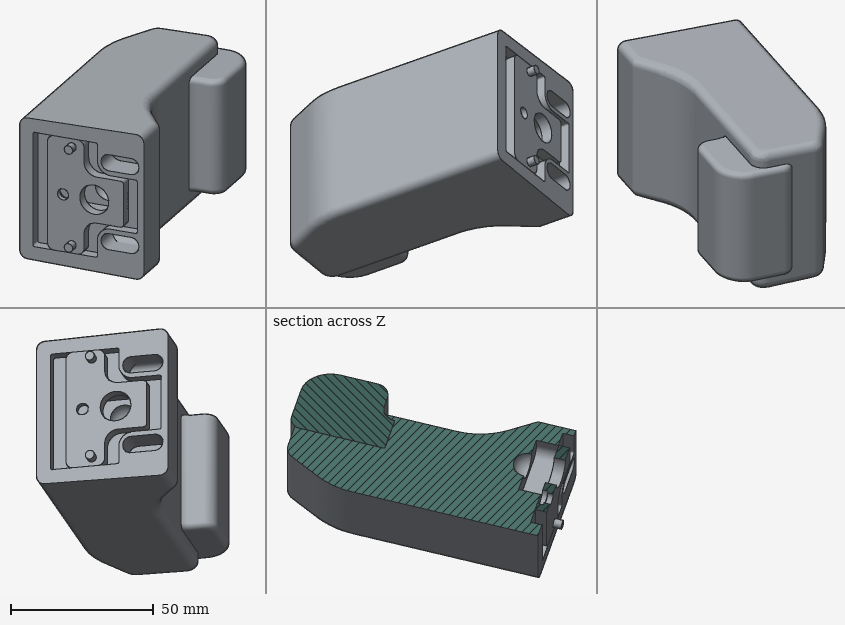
import cadquery as cq
import math

WIDTH = 47.5
BACK_Y = 95.1
NECK_X = 35.5
RIGHT_HEIGHT = 55.0
DRAFT = 1.0
EDGE_FILLET = 3.0
CORNER_R = 5.0
SHOULDER_R = 30.1
SHOULDER_Y = 68.0
SHOULDER_ANGLE = 27.0
SWEEP_R = 30.1
SWEEP_Y = 40.2
SWEEP_ANGLE = 36.0
BASE_CORNER_R = 3.0

TOLERANCE = 0.01

RECESS_DEPTH = 4.1
RECESS_LEFT = 5.1
RECESS_STEP = 29.7
RECESS_RIGHT = 45.0
RECESS_HALF = 21.7
RECESS_NECK_HALF = 10.1
RECESS_CORNER_R = 0.7
STEP_R = 5.0
PLATE_LEFT = 10.6
PLATE_STEP = 24.6
PLATE_RIGHT = 39.8
PLATE_NECK_HALF = 8.7
PLATE_CORNER_R = 2.5
PLATE_NECK_R = 1.2

BORE_X = 28.5
BORE_R = 5.5
SOCKET_R = 4.9
CHAMBER_HALF = 7.0
CHAMBER_CORNER_R = 3.9
CHAMBER_DEPTH = 8.0
SMALL_HOLE_X = 16.6
SMALL_HOLE_R = 2.1
SMALL_HOLE_LIP = 2.1
SMALL_BORE_R = 3.0

SLOT_LEFT = 31.1
SLOT_RIGHT = 45.6
SLOT_WIDTH = 6.1
SLOT_Z = 15.0
SLOT_DEPTH = 10.0
SLOT_FLOOR_X = 33.6
SLOT_LEFT_R = 5.0
SLOT_OUTER_R = 2.5

PIN_R = 1.6
PIN_X = 20.0
PIN_Z = 18.6
PIN_PROJECTION = 3.0

HOOK_BACK_Y = 97.4
HOOK_FRONT_Y = 67.3
HOOK_LEFT = 21.5
HOOK_STEM_X = 33.6
HOOK_HALF = 21.7
HOOK_FILLET = 2.1
HOOK_LEFT_R = 4.0
HOOK_R = 5.0
HOOK_BACK_R = 9.0
HOOK_SIDE_R = 12.0
HOOK_BEND_ANGLE = 36.0


def extrude_z(outline, half_height):
    """Solid of an XY outline, symmetric about Z = 0."""
    return outline.extrude(half_height, both=True)


def drill(x, z, radius, y_start, y_end):
    """Cylinder along +Y."""
    start = cq.Vector(x, y_start, z)
    cylinder = cq.Solid.makeCylinder(radius, y_end - y_start, start, cq.Vector(0, 1, 0))
    return cq.Workplane("XY").add(cylinder)


def box(x0, x1, y0, y1, z0, z1):
    return cq.Workplane("XY").box(x1 - x0, y1 - y0, z1 - z0, centered=False).translate((x0, y0, z0))


def t_block(left, step, right, half, neck_half, corner_r, neck_r):
    """T-shaped block as deep as the recess, its long arm along Z and its neck towards +X."""
    points = [
        (left, -half), (step, -half), (step, -neck_half), (right, -neck_half),
        (right, neck_half), (step, neck_half), (step, half), (left, half),
    ]
    block = cq.Workplane("XZ").polyline(points).close().extrude(-RECESS_DEPTH)

    def round_edges(solid, corners, radius):
        for x, z in corners:
            spot = (x, RECESS_DEPTH / 2, z)
            solid = solid.edges(cq.selectors.NearestToPointSelector(spot)).fillet(radius)
        return solid

    block = round_edges(block, [(step, -neck_half), (step, neck_half)], STEP_R)
    block = round_edges(block, [(right, -neck_half), (right, neck_half)], neck_r)
    ends = [(left, -half), (left, half), (step, -half), (step, half)]
    return round_edges(block, ends, corner_r)


def round_rims(body, radius, front_y):
    """Round the edges of the top and bottom faces, except those lying in the plane Y = front_y."""
    rim = body.faces(">Z or <Z").edges().filter(lambda edge: edge.Center().y > front_y + TOLERANCE)
    return body.newObject(rim.vals()).fillet(radius)


def housing_outline():
    """Outline in XY; far corners and the base corner are left sharp."""
    shoulder = math.radians(SHOULDER_ANGLE)
    bend_x = SHOULDER_R * (1 - math.cos(shoulder))
    bend_y = SHOULDER_Y + SHOULDER_R * math.sin(shoulder)
    far_x = bend_x + (BACK_Y - bend_y) * math.tan(shoulder)
    sweep = math.radians(SWEEP_ANGLE)
    sweep_x = NECK_X + SWEEP_R * (1 - math.cos(sweep))
    sweep_y = SWEEP_Y - SWEEP_R * math.sin(sweep)
    base_y = sweep_y - (WIDTH - sweep_x) / math.tan(sweep)
    outline = (
        cq.Workplane("XY").moveTo(0, 0).lineTo(0, SHOULDER_Y)
        .tangentArcPoint((bend_x, bend_y), relative=False)
        .lineTo(far_x, BACK_Y).lineTo(NECK_X, BACK_Y).lineTo(NECK_X, SWEEP_Y)
        .tangentArcPoint((sweep_x, sweep_y), relative=False)
        .lineTo(WIDTH, base_y).lineTo(WIDTH, 0).close()
    )
    return outline, far_x, base_y


def housing_shell():
    outline, far_x, base_y = housing_outline()
    body = extrude_z(outline, RIGHT_HEIGHT)
    corners = [
        (far_x, BACK_Y, CORNER_R), (NECK_X, BACK_Y, CORNER_R), (WIDTH, base_y, BASE_CORNER_R),
    ]
    for x, y, radius in corners:
        body = body.edges(cq.selectors.NearestToPointSelector((x, y, 0))).fillet(radius)
    right_half = RIGHT_HEIGHT / 2
    left_half = right_half - WIDTH * math.tan(math.radians(DRAFT))
    wedge = (
        cq.Workplane("XZ")
        .polyline([(0, -left_half), (WIDTH, -right_half), (WIDTH, right_half), (0, left_half)])
        .close().extrude(-BACK_Y)
    )
    body = body.intersect(wedge)
    return round_rims(body, EDGE_FILLET, 0)


def slot(side):
    """Blind slot above (side = 1) or below (side = -1) the middle."""
    length = SLOT_RIGHT - SLOT_LEFT
    middle = ((SLOT_LEFT + SLOT_RIGHT) / 2, side * SLOT_Z)
    bore = cq.Workplane("XZ").center(*middle).slot2D(length, SLOT_WIDTH).extrude(-SLOT_DEPTH)
    outer_z = SLOT_Z + SLOT_WIDTH / 2
    room = box(SLOT_FLOOR_X - SLOT_LEFT_R, WIDTH, -SLOT_DEPTH, SLOT_DEPTH, 0, outer_z)
    room = room.edges(">Y and <X").fillet(SLOT_LEFT_R).edges(">Y and >Z").fillet(SLOT_OUTER_R)
    if side < 0:
        room = room.mirror("XY")
    return bore.intersect(room)


def bore_chamber():
    """Chamber behind the plate with a ball-shaped socket in its floor."""
    floor_y = RECESS_DEPTH + CHAMBER_DEPTH
    reach = CHAMBER_HALF + CHAMBER_CORNER_R
    chamber = box(
        BORE_X - reach, BORE_X + reach, RECESS_DEPTH, floor_y, -CHAMBER_HALF, CHAMBER_HALF
    ).edges("|Y").fillet(CHAMBER_CORNER_R)
    socket = cq.Workplane("XY").sphere(SOCKET_R).translate((BORE_X, floor_y, 0))
    return chamber.union(socket)


def make_hook():
    """Hook with a stem that sits in a matching recess of the housing."""
    stem_y = HOOK_FRONT_Y - HOOK_R
    turn = math.radians(HOOK_BEND_ANGLE)
    bend_x = WIDTH - HOOK_SIDE_R * (1 - math.sin(turn))
    bend_start_x = bend_x - HOOK_BACK_R * math.sin(turn)
    bend_y = HOOK_BACK_Y - HOOK_BACK_R * (1 - math.cos(turn))
    bend_end_y = bend_y - HOOK_SIDE_R * math.cos(turn)
    outline = (
        cq.Workplane("XY").moveTo(HOOK_LEFT, stem_y)
        .lineTo(HOOK_LEFT, HOOK_BACK_Y).lineTo(bend_start_x, HOOK_BACK_Y)
        .tangentArcPoint((bend_x, bend_y), relative=False)
        .tangentArcPoint((WIDTH, bend_end_y), relative=False)
        .lineTo(WIDTH, HOOK_FRONT_Y)
        .lineTo(HOOK_STEM_X + HOOK_R, HOOK_FRONT_Y)
        .tangentArcPoint((HOOK_STEM_X, stem_y), relative=False).close()
    )
    hook = extrude_z(outline, HOOK_HALF)
    corners = [(HOOK_LEFT, HOOK_BACK_Y, HOOK_LEFT_R), (WIDTH, HOOK_FRONT_Y, HOOK_R)]
    for x, y, radius in corners:
        hook = hook.edges(cq.selectors.NearestToPointSelector((x, y, 0))).fillet(radius)
    return round_rims(hook, HOOK_FILLET, stem_y)


def make_pin(z):
    return drill(PIN_X, z, PIN_R, -PIN_PROJECTION, RECESS_DEPTH)


def make_plate(pins):
    plate = t_block(
        PLATE_LEFT, PLATE_STEP, PLATE_RIGHT, RECESS_HALF, PLATE_NECK_HALF, PLATE_CORNER_R, PLATE_NECK_R)
    plate = plate.cut(drill(BORE_X, 0, BORE_R, 0, RECESS_DEPTH))
    plate = plate.cut(drill(SMALL_HOLE_X, 0, SMALL_HOLE_R, 0, SMALL_HOLE_LIP))
    plate = plate.cut(drill(SMALL_HOLE_X, 0, SMALL_BORE_R, SMALL_HOLE_LIP, RECESS_DEPTH))
    for pin in pins:
        plate = plate.cut(pin)
    return plate


def make_housing(hook):
    recess = t_block(
        RECESS_LEFT, RECESS_STEP, RECESS_RIGHT, RECESS_HALF, RECESS_NECK_HALF,
        RECESS_CORNER_R, RECESS_CORNER_R)
    body = housing_shell().cut(recess).cut(bore_chamber())
    for side in (1, -1):
        body = body.cut(slot(side))
    return body.cut(hook)


pins = [make_pin(side * PIN_Z) for side in (1, -1)]
plate = make_plate(pins)
hook = make_hook()
housing = make_housing(hook)
result = cq.Compound.makeCompound([housing.val(), hook.val(), plate.val(), *[pin.val() for pin in pins]])